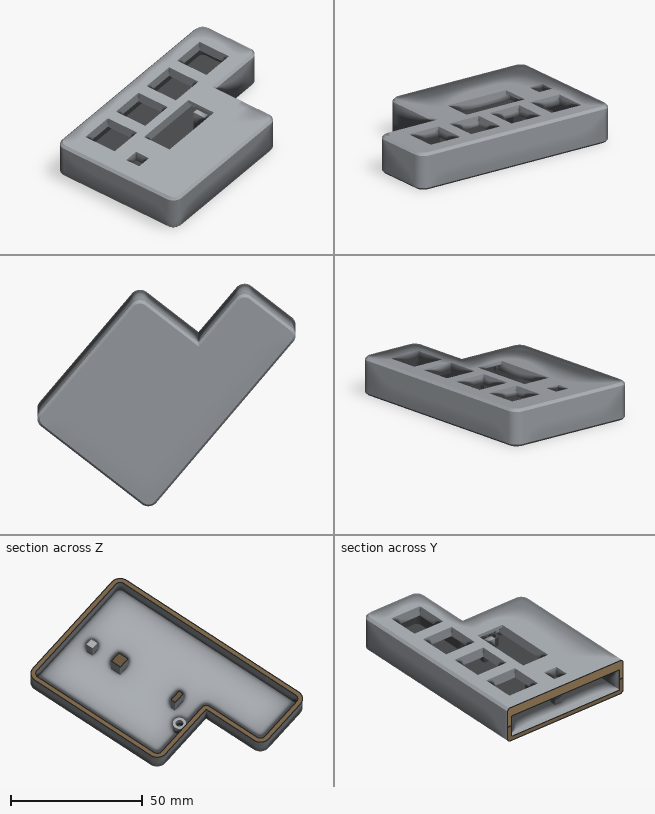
import cadquery as cq

CASE_WIDTH = 57.0
CASE_LENGTH = 90.3
CASE_HEIGHT = 15.0
ARM_WIDTH = 27.7
SHOULDER_Y = 63.5
CORNER_RADIUS = 4.0
EDGE_CHAMFER = 1.0

WALL = 2.0
FLOOR = 2.0
PARTING_Z = 6.5
LID_PLATE = 4.15
CEILING_Z = CASE_HEIGHT - LID_PLATE

KEY_COUNT = 4
KEY_SIZE = 14.0
KEY_PITCH = 19.05
KEY_X = 13.7
FIRST_KEY_Y = 16.6

WINDOW_X_MIN = 24.4
WINDOW_X_MAX = 36.6
WINDOW_Y_MIN = 23.1
WINDOW_Y_MAX = 50.75
WINDOW_FRAME = 1.35
POCKET_OVERHANG = 1.9
RELIEF_WIDTH = 9.7
RELIEF_OVERHANG = 3.0

BUTTON_SIZE = 6.1
BUTTON_X = 30.4
BUTTON_Y = 11.2

TAB_WIDTH = 5.9
TAB_TIP_Z = 2.5
FRONT_TAB_X = CASE_WIDTH / 2
SIDE_TAB_Y = 13.45

LEDGE_X_MAX = 32.5
UPPER_LEDGE_WIDTH = 5.2
UPPER_LEDGE_Y = 50.1
UPPER_LEDGE_DEPTH = 2.2
LOWER_LEDGE_WIDTH = 4.9
LOWER_LEDGE_Y = 26.1
LOWER_LEDGE_DEPTH = 4.5
PILLAR_SIZE = 2.9
PILLAR_X = 30.6
PILLAR_Y = 11.1
PILLAR_TOP_Z = 7.2

POST_DIAMETER = 5.1
POST_HOLE_DIAMETER = 3.0
POST_X = 37.9
POST_Y = 58.6
POST_TOP_Z = 5.7


def block(x_min, x_max, y_min, y_max, z_min, z_max):
    """Box given by its limits along each axis."""
    size = (x_max - x_min, y_max - y_min, z_max - z_min)
    return cq.Workplane("XY").box(*size, centered=False).translate((x_min, y_min, z_min))


def square_block(x, y, size, z_min, z_max):
    """Square prism centred on (x, y)."""
    half = size / 2
    return block(x - half, x + half, y - half, y + half, z_min, z_max)


def case_prism(height):
    """Case outline with rounded outer corners, extruded from z = 0."""
    main = block(0, CASE_WIDTH, 0, SHOULDER_Y, 0, height)
    arm = block(0, ARM_WIDTH, 0, CASE_LENGTH, 0, height)
    prism = main.union(arm).clean()
    upright_edges = cq.StringSyntaxSelector("|Z")
    inner_corner = cq.NearestToPointSelector((ARM_WIDTH, SHOULDER_Y, height / 2))
    return prism.edges(upright_edges - inner_corner).fillet(CORNER_RADIUS)


def cavity(z_min, z_max):
    """Inside of the shell: the case outline moved inward by the wall thickness."""
    outline = case_prism(CASE_HEIGHT).faces("<Z").wires().val()
    inset = outline.offset2D(-WALL, "arc")[0]
    solid = cq.Solid.extrudeLinear(inset, [], cq.Vector(0, 0, z_max - z_min))
    return cq.Workplane(solid).translate((0, 0, z_min))


def tabs():
    """Tabs across the -Y and -X walls, from their tips up to the parting plane."""
    half = TAB_WIDTH / 2
    front = block(FRONT_TAB_X - half, FRONT_TAB_X + half, 0, WALL, TAB_TIP_Z, PARTING_Z)
    side = block(0, WALL, SIDE_TAB_Y - half, SIDE_TAB_Y + half, TAB_TIP_Z, PARTING_Z)
    return front.union(side)


def key_openings():
    """Column of square key openings through the lid plate."""
    openings = cq.Workplane("XY")
    for index in range(KEY_COUNT):
        y = FIRST_KEY_Y + index * KEY_PITCH
        openings = openings.union(square_block(KEY_X, y, KEY_SIZE, CEILING_Z, CASE_HEIGHT))
    return openings


def window_opening():
    """Screen window, the pocket behind its frame and the relief at the pocket's +Y end."""
    pocket_top = CASE_HEIGHT - WINDOW_FRAME
    relief_x_min = (WINDOW_X_MIN + WINDOW_X_MAX - RELIEF_WIDTH) / 2
    window = block(WINDOW_X_MIN, WINDOW_X_MAX, WINDOW_Y_MIN, WINDOW_Y_MAX, CEILING_Z, CASE_HEIGHT)
    pocket = block(
        WINDOW_X_MIN,
        WINDOW_X_MAX,
        WINDOW_Y_MIN - POCKET_OVERHANG,
        WINDOW_Y_MAX + POCKET_OVERHANG,
        CEILING_Z,
        pocket_top,
    )
    relief = block(
        relief_x_min,
        relief_x_min + RELIEF_WIDTH,
        WINDOW_Y_MAX,
        WINDOW_Y_MAX + RELIEF_OVERHANG,
        CEILING_Z,
        pocket_top,
    )
    return window.union(pocket).union(relief)


def make_lid():
    """Upper half of the case with its openings and tabs."""
    height = CASE_HEIGHT - PARTING_Z
    shell = case_prism(height).faces(">Z").chamfer(EDGE_CHAMFER).translate((0, 0, PARTING_Z))
    button_opening = square_block(BUTTON_X, BUTTON_Y, BUTTON_SIZE, CEILING_Z, CASE_HEIGHT)
    return (
        shell.cut(cavity(PARTING_Z, CEILING_Z))
        .cut(key_openings())
        .cut(window_opening())
        .cut(button_opening)
        .union(tabs())
    )


def supports():
    """Two ledges and the square pillar that rise from the floor."""
    upper_ledge = block(
        LEDGE_X_MAX - UPPER_LEDGE_WIDTH,
        LEDGE_X_MAX,
        UPPER_LEDGE_Y,
        UPPER_LEDGE_Y + UPPER_LEDGE_DEPTH,
        FLOOR,
        CEILING_Z,
    )
    lower_ledge = block(
        LEDGE_X_MAX - LOWER_LEDGE_WIDTH,
        LEDGE_X_MAX,
        LOWER_LEDGE_Y - LOWER_LEDGE_DEPTH,
        LOWER_LEDGE_Y,
        FLOOR,
        CEILING_Z,
    )
    pillar = square_block(PILLAR_X, PILLAR_Y, PILLAR_SIZE, FLOOR, PILLAR_TOP_Z)
    return upper_ledge.union(lower_ledge).union(pillar)


def screw_post():
    """Hollow round post standing on the floor."""
    return (
        cq.Workplane("XY", origin=(POST_X, POST_Y, FLOOR))
        .circle(POST_DIAMETER / 2)
        .circle(POST_HOLE_DIAMETER / 2)
        .extrude(POST_TOP_Z - FLOOR)
    )


def make_base():
    """Lower half of the case with its supports and the notches for the tabs."""
    shell = case_prism(PARTING_Z).faces("<Z").chamfer(EDGE_CHAMFER)
    return (
        shell.cut(cavity(FLOOR, PARTING_Z))
        .cut(tabs())
        .union(supports())
        .union(screw_post())
    )


lid = make_lid().solids()
base = make_base().solids()
result = cq.Compound.makeCompound([lid.val(), base.val()])